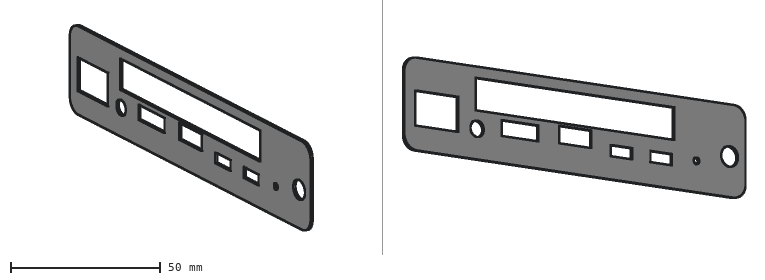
import cadquery as cq

panel_length = 142.2
panel_height = 31.5
panel_thickness = 1.0
corner_radius = 5.0

display_window = (0.0, 6.4, 82.8, 11.1)
left_opening = (-57.6, -1.4, 17.9, 12.0)
wide_port = (-22.9, -3.8, 15.4, 5.4)
middle_port = (0.1, -3.1, 13.5, 6.0)

small_port_width = 9.0
small_port_height = 3.8
small_port_z = -6.0
small_port_xs = (19.3, 36.0)

left_hole = (-40.8, -5.4, 5.5)
pin_hole = (50.6, -5.1, 2.3)
right_hole = (64.4, -2.0, 7.0)


def extrude_through(sketch):
    """Extrude a sketch drawn in XZ across the panel thickness, centred on Y = 0."""
    return sketch.extrude(panel_thickness / 2, both=True)


def rectangular_block(x, z, width, height):
    return extrude_through(cq.Workplane("XZ").center(x, z).rect(width, height))


def round_plug(x, z, diameter):
    return extrude_through(cq.Workplane("XZ").center(x, z).circle(diameter / 2))


result = rectangular_block(0, 0, panel_length, panel_height).edges("|Y").fillet(corner_radius)

small_ports = [(x, small_port_z, small_port_width, small_port_height) for x in small_port_xs]
for opening in [display_window, left_opening, wide_port, middle_port] + small_ports:
    result = result.cut(rectangular_block(*opening))

for hole in (left_hole, pin_hole, right_hole):
    result = result.cut(round_plug(*hole))